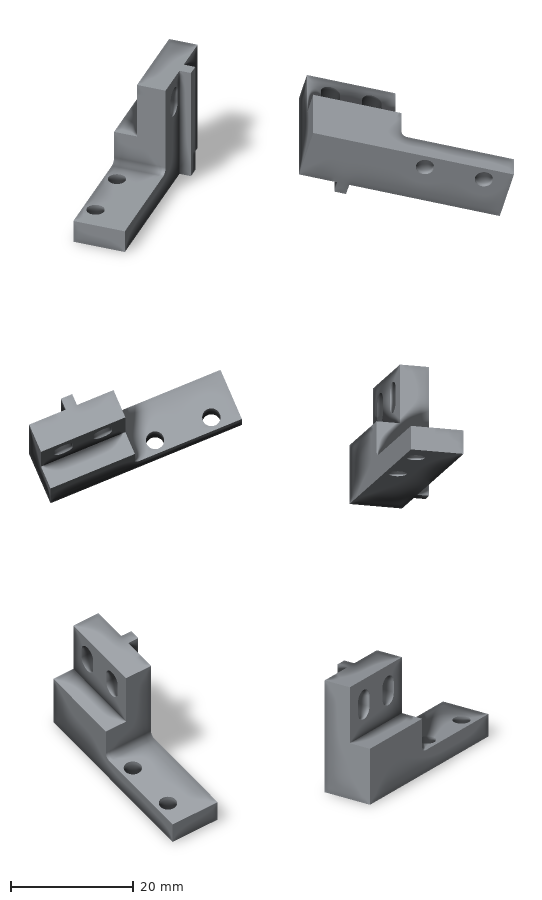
import cadquery as cq

length = 34.0
body_width = 9.0
height = 20.0
foot_thickness = 4.0
block_length = 15.0
inner_fillet = 1.0

step_height = height / 2
step_depth = 4.0

key_projection = 2.0
key_width = 2.0

hole_diameter = 3.0
hole_x = 2.2
first_hole_y = 4.5
hole_spacing = 10.0

slot_width = 3.25
slot_length = 5.25
slot_spacing = 7.0
slot_center_below_top = 4.52

block_front = length - block_length
block_center_y = length - block_length / 2
slot_center_z = height - slot_center_below_top


def make_body():
    """L-shaped side profile, extruded across the width, with a rounded inner corner."""
    profile = [
        (0, 0),
        (length, 0),
        (length, height),
        (block_front, height),
        (block_front, foot_thickness),
        (0, foot_thickness),
    ]
    body = cq.Workplane("YZ").polyline(profile).close().extrude(body_width)
    inner_corner = cq.selectors.NearestToPointSelector((body_width / 2, block_front, foot_thickness))
    return body.edges(inner_corner).fillet(inner_fillet)


def make_step_cut():
    """Material removed above the step on the -X side."""
    return cq.Workplane("XY").box(
        step_depth, block_length, height - step_height, centered=False
    ).translate((0, block_front, step_height))


def make_key():
    """Full-height key centred between the slots."""
    return cq.Workplane("XY").box(
        key_projection, key_width, height, centered=(False, True, False)
    ).translate((body_width, block_center_y, 0))


def make_foot_holes():
    centers = [(hole_x, first_hole_y), (hole_x, first_hole_y + hole_spacing)]
    return cq.Workplane("XY").pushPoints(centers).circle(hole_diameter / 2).extrude(foot_thickness)


def make_slots():
    centers = [(block_center_y + side * slot_spacing / 2, slot_center_z) for side in (-1, 1)]
    return (
        cq.Workplane("YZ")
        .pushPoints(centers)
        .slot2D(slot_length, slot_width, 90)
        .extrude(body_width)
    )


result = (
    make_body()
    .cut(make_step_cut())
    .union(make_key())
    .cut(make_foot_holes())
    .cut(make_slots())
)